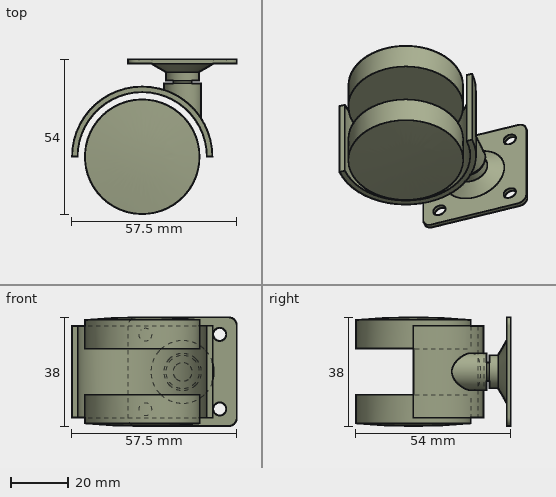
import cadquery as cq
import math


OVERALL_LENGTH = 57.5
OVERALL_DEPTH = 54.0
PLATE_SIDE = 38.0

WHEEL_RADIUS = 20.0
WHEEL_INNER_FACE = 8.0
WHEEL_DOME_HEIGHT = 1.0
WHEEL_OUTER_FACE = PLATE_SIDE / 2
WHEEL_RIM_EDGE = WHEEL_OUTER_FACE - WHEEL_DOME_HEIGHT

FENDER_RADIUS = 24.5
FENDER_WALL = 2.0
FENDER_WIDTH = 31.95
FENDER_INNER_RADIUS = FENDER_RADIUS - FENDER_WALL

PLATE_THICKNESS = 1.5
PLATE_CORNER_RADIUS = 3.0
HOLE_DIAMETER = 4.5
HOLE_SPACING = 26.0

FLARE_RADIUS = 11.0
FLARE_HEIGHT = 3.0
BOSS_RADIUS = 5.8
BOSS_HEIGHT = 3.0
NECK_RADIUS = 3.3
NECK_HEIGHT = 1.0
STEM_RADIUS = 6.5

SWIVEL_X = OVERALL_LENGTH - FENDER_RADIUS - PLATE_SIDE / 2
PLATE_TOP = OVERALL_DEPTH - WHEEL_RADIUS
PLATE_BOTTOM = PLATE_TOP - PLATE_THICKNESS
FLARE_BOTTOM = PLATE_BOTTOM - FLARE_HEIGHT
BOSS_BOTTOM = FLARE_BOTTOM - BOSS_HEIGHT
STEM_TOP = BOSS_BOTTOM - NECK_HEIGHT


def plane_facing_down(y):
    """Plane across the swivel axis at height y, extruding toward -Y."""
    return cq.Workplane(cq.Plane(origin=(SWIVEL_X, y, 0), xDir=(1, 0, 0), normal=(0, -1, 0)))


def make_wheel():
    """Wheel on the +Z side with a shallow domed outer face."""
    dome_radius = (WHEEL_RADIUS**2 + WHEEL_DOME_HEIGHT**2) / (2 * WHEEL_DOME_HEIGHT)
    dome_centre = WHEEL_OUTER_FACE - dome_radius
    middle_x = WHEEL_RADIUS / 2
    dome_middle = (middle_x, dome_centre + math.sqrt(dome_radius**2 - middle_x**2))
    return (
        cq.Workplane("XZ")
        .moveTo(0, WHEEL_INNER_FACE)
        .lineTo(WHEEL_RADIUS, WHEEL_INNER_FACE)
        .lineTo(WHEEL_RADIUS, WHEEL_RIM_EDGE)
        .threePointArc(dome_middle, (0, WHEEL_OUTER_FACE))
        .close()
        .revolve(360, (0, 0), (0, 1))
    )


def make_fender():
    """Half-round fender carrying the swivel stem."""
    stem = plane_facing_down(STEM_TOP).circle(STEM_RADIUS).extrude(STEM_TOP)
    side_face = cq.Workplane("XY", origin=(0, 0, -FENDER_WIDTH / 2))
    bore = side_face.circle(FENDER_INNER_RADIUS).extrude(FENDER_WIDTH)
    shell = (
        side_face.moveTo(FENDER_RADIUS, 0)
        .threePointArc((0, FENDER_RADIUS), (-FENDER_RADIUS, 0))
        .close()
        .extrude(FENDER_WIDTH)
    )
    return shell.union(stem).cut(bore)


def make_mount():
    """Square plate with four screw holes, and the flare, boss and neck below it."""
    plate = (
        plane_facing_down(PLATE_TOP)
        .rect(PLATE_SIDE, PLATE_SIDE)
        .extrude(PLATE_THICKNESS)
        .edges("|Y")
        .fillet(PLATE_CORNER_RADIUS)
    )
    holes = (
        plane_facing_down(PLATE_TOP)
        .rect(HOLE_SPACING, HOLE_SPACING, forConstruction=True)
        .vertices()
        .circle(HOLE_DIAMETER / 2)
        .extrude(PLATE_THICKNESS)
    )
    swivel = (
        cq.Workplane("XY", origin=(SWIVEL_X, 0, 0))
        .moveTo(0, PLATE_BOTTOM)
        .lineTo(FLARE_RADIUS, PLATE_BOTTOM)
        .lineTo(BOSS_RADIUS, FLARE_BOTTOM)
        .lineTo(BOSS_RADIUS, BOSS_BOTTOM)
        .lineTo(NECK_RADIUS, BOSS_BOTTOM)
        .lineTo(NECK_RADIUS, STEM_TOP)
        .lineTo(0, STEM_TOP)
        .close()
        .revolve(360, (0, 0), (0, 1))
    )
    return plate.cut(holes).union(swivel)


mount = make_mount()
fender = make_fender()
wheels = []
for turn in (0, 180):
    wheels.append(make_wheel().rotate((0, 0, 0), (1, 0, 0), turn))

result = cq.Compound.makeCompound(
    [mount.val(), fender.val(), *[wheel.val() for wheel in wheels]]
)